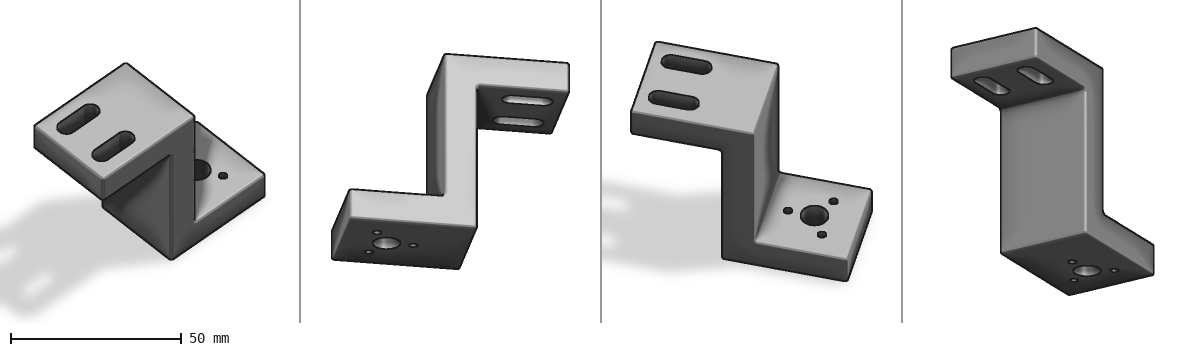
import cadquery as cq

width = 30.0
length = 65.75
height = 56.0
plate = 10.0
upper_reach = 27.5
edge_radius = 1.0

end_y = length / 2
web_front = -end_y + upper_reach
web_back = web_front + plate

shaft_diameter = 8.1
screw_diameter = 2.5
screw_circle_radius = 8.0
pattern_y = 19.1
screw_angles = (30, 150, 270)

slot_width = 5.45
slot_length = 15.0
slot_spacing = 15.0
slot_y = -21.55


def z_bracket():
    """Upper flange to -Y, upright web, lower flange to +Y, all edges rounded."""
    outline = [
        (-end_y, height),
        (web_back, height),
        (web_back, plate),
        (end_y, plate),
        (end_y, 0),
        (web_front, 0),
        (web_front, height - plate),
        (-end_y, height - plate),
    ]
    body = cq.Workplane("YZ").polyline(outline).close().extrude(width / 2, both=True)
    return body.edges().fillet(edge_radius)


def lower_flange_holes():
    """Central shaft hole with three screw holes on a circle around it."""
    base = cq.Workplane("XY").center(0, pattern_y)
    holes = base.circle(shaft_diameter / 2).extrude(plate)
    for angle in screw_angles:
        screw = (
            base.transformed(rotate=(0, 0, angle))
            .center(screw_circle_radius, 0)
            .circle(screw_diameter / 2)
            .extrude(plate)
        )
        holes = holes.union(screw)
    return holes


def upper_flange_slots():
    """Pair of slots running along Y."""
    return (
        cq.Workplane("XY", origin=(0, slot_y, height - plate))
        .pushPoints([(-slot_spacing / 2, 0), (slot_spacing / 2, 0)])
        .slot2D(slot_length, slot_width, 90)
        .extrude(plate)
    )


result = z_bracket().cut(lower_flange_holes()).cut(upper_flange_slots())